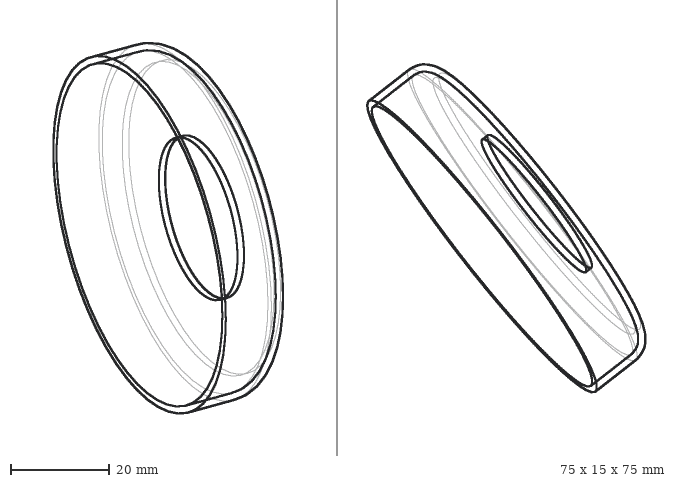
import cadquery as cq

outer_diameter = 75.0
depth = 15.0
wall = 1.5
hole_diameter = 34.2
outer_corner_radius = 4.5

inner_diameter = outer_diameter - 2 * wall
inner_corner_radius = outer_corner_radius - wall


def rounded_disc(diameter, thickness, corner_radius):
    """Disc from the Y = 0 plane toward +Y, with its +Y edge rounded."""
    disc = cq.Workplane("XZ").circle(diameter / 2).extrude(-thickness)
    return disc.faces(">Y").edges().fillet(corner_radius)


shell = rounded_disc(outer_diameter, depth, outer_corner_radius)
cavity = rounded_disc(inner_diameter, depth - wall, inner_corner_radius)

hole = cq.Workplane("XZ").circle(hole_diameter / 2).extrude(-depth)

result = shell.cut(cavity).cut(hole)